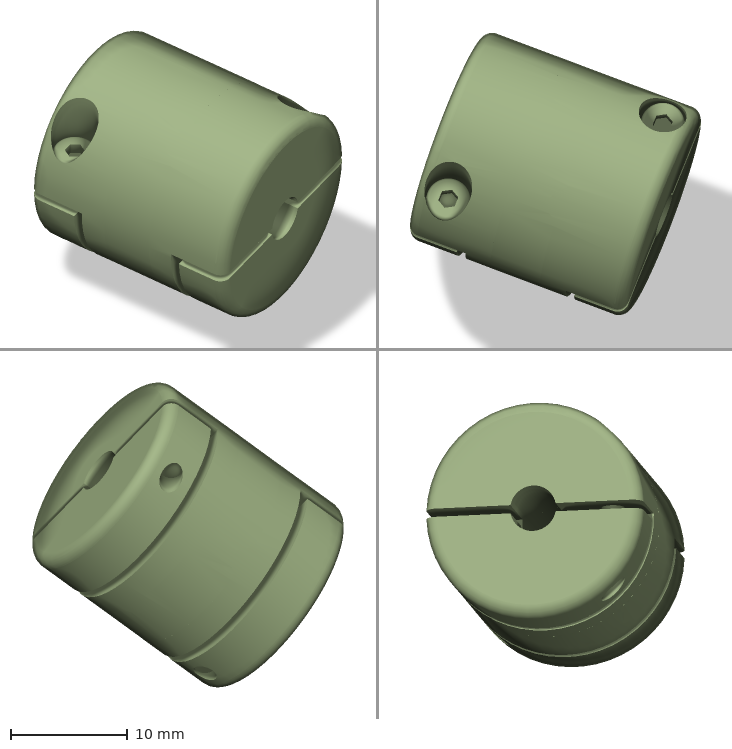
import cadquery as cq
import math

length = 20.0
outer_diameter = 19.0
bore_diameter = 4.0
end_round = 1.0

sleeve_length = 4.6
lobe_height = 1.15
lobe_tip_diameter = 2.5
lobe_root_radius = 1.0
lobe_angles = (-30.0, -150.0)

gap_width = 0.72
cap_length = 4.6
relief_width = 0.8

screw_inset = 2.65
screw_offset = 6.48
shank_diameter = 2.0
shank_end = -5.2
head_diameter = 3.8
head_height = 2.0
head_top = 4.0
head_round = 0.3
counterbore_diameter = 4.1
socket_width = 1.5
socket_depth = 1.0

end_x = -length / 2
seam_x = -sleeve_length / 2
outer_radius = outer_diameter / 2
screw_x = end_x + screw_inset
screw_y = -screw_offset
head_seat = head_top - head_height


def vertical_cylinder(diameter, bottom, top):
    """Cylinder on the screw axis between two heights."""
    return (
        cq.Workplane("XY", origin=(screw_x, screw_y, bottom)).circle(diameter / 2).extrude(top - bottom)
    )


def box_between(low, high):
    """Box between its lowest and highest corners."""
    size = [b - a for a, b in zip(low, high)]
    return cq.Workplane("XY").box(*size, centered=False).translate(low)


def envelope():
    """Round-ended, bored cylinder that the hubs and the sleeve fill together."""
    return (
        cq.Workplane("YZ", origin=(end_x, 0, 0))
        .circle(outer_radius)
        .extrude(length)
        .edges()
        .fillet(end_round)
        .cut(cq.Workplane("YZ", origin=(end_x, 0, 0)).circle(bore_diameter / 2).extrude(length))
    )


def lobe():
    """Radial prism with a round tip blended into the hub face by two root arcs, pointing along +Z."""
    tip_radius = lobe_tip_diameter / 2
    tip_centre = lobe_height - tip_radius
    radii = tip_radius + lobe_root_radius
    rise = lobe_root_radius - tip_centre
    half_width = math.sqrt(radii**2 - rise**2)
    share = tip_radius / radii
    blend_x = seam_x + tip_centre + rise * share
    blend_y = half_width * share
    half_turn = math.asin(half_width / radii) / 2
    root_x = seam_x + lobe_root_radius * (1 - math.cos(half_turn))
    root_y = half_width - lobe_root_radius * math.sin(half_turn)
    return (
        cq.Workplane("XY")
        .moveTo(end_x, -half_width)
        .lineTo(seam_x, -half_width)
        .threePointArc((root_x, -root_y), (blend_x, -blend_y))
        .threePointArc((seam_x + lobe_height, 0), (blend_x, blend_y))
        .threePointArc((root_x, root_y), (seam_x, half_width))
        .lineTo(end_x, half_width)
        .close()
        .extrude(outer_diameter)
    )


def hub_region():
    """Space on the hub side of the seam, lobes included."""
    region = box_between((end_x, -outer_radius, -outer_radius), (seam_x, outer_radius, outer_radius))
    for angle in lobe_angles:
        region = region.union(lobe().rotate((0, 0, 0), (1, 0, 0), angle))
    return region


def clamp_slots():
    """Gap along the axis and relief slot across it, both through the full width."""
    cap_x = end_x + cap_length
    relief_x = cap_x + relief_width
    gap = box_between((end_x, -outer_radius, -gap_width / 2), (relief_x, outer_radius, gap_width / 2))
    relief = box_between((cap_x, -outer_radius, -outer_radius), (relief_x, outer_radius, gap_width / 2))
    return gap.union(relief)


def clamp_screw():
    """Socket head screw."""
    head = vertical_cylinder(head_diameter, head_seat, head_top).faces(">Z").edges().fillet(head_round)
    shank = vertical_cylinder(shank_diameter, shank_end, head_seat)
    socket = (
        cq.Workplane("XY", origin=(screw_x, screw_y, head_top))
        .polygon(6, socket_width, circumscribed=True)
        .extrude(-socket_depth)
    )
    return head.union(shank).cut(socket)


def hub():
    """Left clamping hub: its screw is one with it and carries the lower cap."""
    return (
        envelope()
        .intersect(hub_region())
        .cut(clamp_slots())
        .cut(vertical_cylinder(counterbore_diameter, head_seat, outer_radius))
        .cut(vertical_cylinder(shank_diameter, -outer_radius, head_seat))
        .union(clamp_screw())
    )


def half_turn_about_z(body):
    return body.rotate((0, 0, 0), (0, 0, 1), 180)


def sleeve():
    """Elastomer sleeve that fills the space between the two hubs."""
    region = hub_region()
    return envelope().cut(region).cut(half_turn_about_z(region))


left_hub = hub()
hubs = [left_hub, half_turn_about_z(left_hub)]
result = cq.Compound.makeCompound([*[body.val() for body in hubs], sleeve().val()])